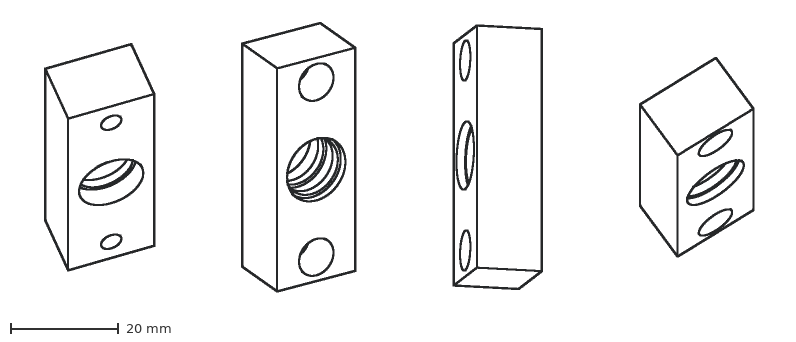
import cadquery as cq

block_depth = 12.5
block_width = 17.0
block_height = 46.0

screw_offset = 18.05
screw_hole_diameter = 4.0
screw_head_diameter = 7.5
screw_head_depth = 8.5

bore_diameter = 12.7
ring_inner_diameter = 11.4
ring_length = 1.85
front_ring_start = 1.65
rear_ring_start = 6.8


def cylinder_along_x(diameter, start, length):
    """Cylinder centred on the X axis, running in +X from the given start."""
    return cq.Workplane("YZ").workplane(offset=start).circle(diameter / 2).extrude(length)


def make_screw_hole(height):
    """Cutting shape for a through hole with a deep counterbore at the front."""
    through_hole = cylinder_along_x(screw_hole_diameter, 0, block_depth)
    counterbore = cylinder_along_x(screw_head_diameter, 0, screw_head_depth)
    return through_hole.union(counterbore).translate((0, 0, height))


def make_housing():
    """Block with a straight main bore and two counterbored screw holes."""
    block = cq.Workplane("XY").box(
        block_depth, block_width, block_height, centered=(False, True, True)
    )
    block = block.cut(cylinder_along_x(bore_diameter, 0, block_depth))
    for height in (-screw_offset, screw_offset):
        block = block.cut(make_screw_hole(height))
    return block


def make_ring(start):
    """Plain ring that fills the main bore's diameter."""
    outside = cylinder_along_x(bore_diameter, start, ring_length)
    return outside.cut(cylinder_along_x(ring_inner_diameter, start, ring_length))


housing = make_housing()
rings = [make_ring(start) for start in (front_ring_start, rear_ring_start)]

result = cq.Compound.makeCompound([housing.val(), *[ring.val() for ring in rings]])